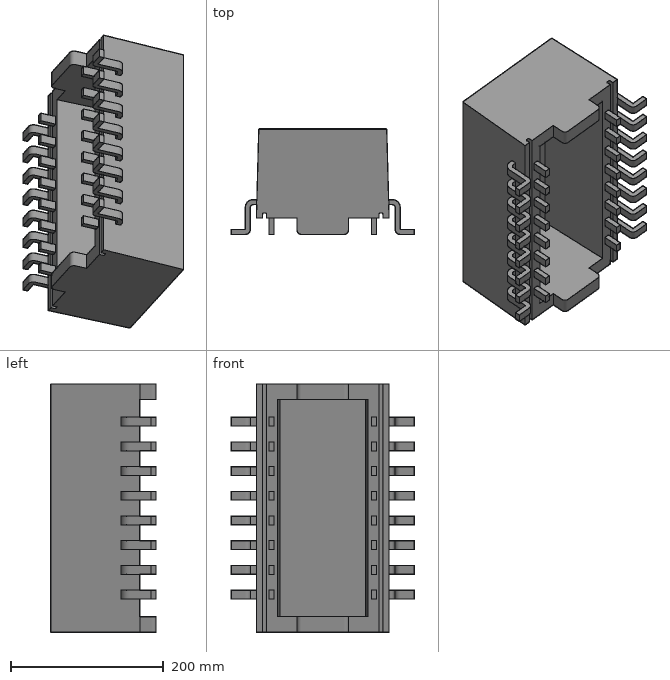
import cadquery as cq

HEIGHT = 325.0
DEPTH = 138.5
STANDOFF = 21.5
FRONT_WIDTH = 174.0
BACK_WIDTH = 167.8
BACK_CHAMFER = 1.0

END_WALL = 20.5
FLOOR_THICKNESS = 16.0
CAVITY_MOUTH_WIDTH = 118.5
CAVITY_FLOOR_WIDTH = 112.0

TAB_WIDTH = 67.5
TAB_RADIUS = 6.0

GROOVE_CENTRE = 76.0
GROOVE_WIDTH = 5.0
GROOVE_DEPTH = 6.5
GROOVE_FILLET = 1.0

CONTACTS_PER_SIDE = 8
PITCH = 32.35
CONTACT_HEIGHT = 11.7
METAL_THICKNESS = 6.8
LEAD_SPAN = 240.0
LEAD_TOP = 46.0
LEG_OUTER = 101.5
SHOULDER_INNER_RADIUS = 3.5
POST_CENTRE = 67.0
POST_WIDTH = 6.8
EMBEDMENT = 6.5


def tapered_prism(y_start, y_end, width_start, width_end, height):
    """Prism along Z whose width changes evenly from y_start to y_end."""
    return (
        cq.Workplane("XY")
        .workplane(offset=-height / 2)
        .moveTo(-width_start / 2, y_start)
        .lineTo(width_start / 2, y_start)
        .lineTo(width_end / 2, y_end)
        .lineTo(-width_end / 2, y_end)
        .close()
        .extrude(height)
    )


def make_tab(z_bottom):
    """Standoff tab reaching from the housing front to y = 0."""
    return (
        cq.Workplane("XY")
        .workplane(offset=z_bottom)
        .center(0, STANDOFF / 2)
        .rect(TAB_WIDTH, STANDOFF)
        .extrude(END_WALL)
        .edges("|Z and <Y")
        .fillet(TAB_RADIUS)
    )


def make_groove():
    """Cutter for the groove on the +X side, rounded at its bottom corners."""
    return (
        cq.Workplane("XY")
        .box(GROOVE_WIDTH, GROOVE_DEPTH, HEIGHT)
        .edges("|Z and >Y")
        .fillet(GROOVE_FILLET)
        .translate((GROOVE_CENTRE, STANDOFF + GROOVE_DEPTH / 2, 0))
    )


def make_housing():
    body = tapered_prism(STANDOFF, DEPTH, FRONT_WIDTH, BACK_WIDTH, HEIGHT)
    body = body.faces(">Y").edges().chamfer(BACK_CHAMFER)
    cavity = tapered_prism(
        STANDOFF,
        DEPTH - FLOOR_THICKNESS,
        CAVITY_MOUTH_WIDTH,
        CAVITY_FLOOR_WIDTH,
        HEIGHT - 2 * END_WALL,
    )
    groove = make_groove()
    body = body.cut(cavity).cut(groove).cut(groove.mirror("YZ"))
    for z_bottom in (-HEIGHT / 2, HEIGHT / 2 - END_WALL):
        body = body.union(make_tab(z_bottom))
    return body


def make_lead():
    """Gull-wing lead on the +X side, centred on z = 0."""
    root = FRONT_WIDTH / 2 - EMBEDMENT
    leg_inner = LEG_OUTER - METAL_THICKNESS
    shoulder_bottom = LEAD_TOP - METAL_THICKNESS
    shoulder_outer_radius = SHOULDER_INNER_RADIUS + METAL_THICKNESS
    return (
        cq.Workplane("XY")
        .workplane(offset=-CONTACT_HEIGHT / 2)
        .moveTo(root, LEAD_TOP)
        .lineTo(LEG_OUTER - shoulder_outer_radius, LEAD_TOP)
        .radiusArc((LEG_OUTER, LEAD_TOP - shoulder_outer_radius), shoulder_outer_radius)
        .lineTo(LEG_OUTER, METAL_THICKNESS)
        .lineTo(LEAD_SPAN / 2, METAL_THICKNESS)
        .lineTo(LEAD_SPAN / 2, 0)
        .lineTo(LEG_OUTER, 0)
        .radiusArc((leg_inner, METAL_THICKNESS), METAL_THICKNESS)
        .lineTo(leg_inner, shoulder_bottom - SHOULDER_INNER_RADIUS)
        .radiusArc((leg_inner - SHOULDER_INNER_RADIUS, shoulder_bottom), -SHOULDER_INNER_RADIUS)
        .lineTo(root, shoulder_bottom)
        .close()
        .extrude(CONTACT_HEIGHT)
    )


def make_post():
    """Straight post on the +X side, centred on z = 0."""
    length = STANDOFF + EMBEDMENT
    return (
        cq.Workplane("XY")
        .box(POST_WIDTH, length, CONTACT_HEIGHT)
        .translate((POST_CENTRE, length / 2, 0))
    )


result = make_housing()
lead = make_lead()
post = make_post()
for position in range(CONTACTS_PER_SIDE):
    z = (position - (CONTACTS_PER_SIDE - 1) / 2) * PITCH
    for metal in (lead, post):
        placed = metal.translate((0, 0, z))
        result = result.union(placed).union(placed.mirror("YZ"))